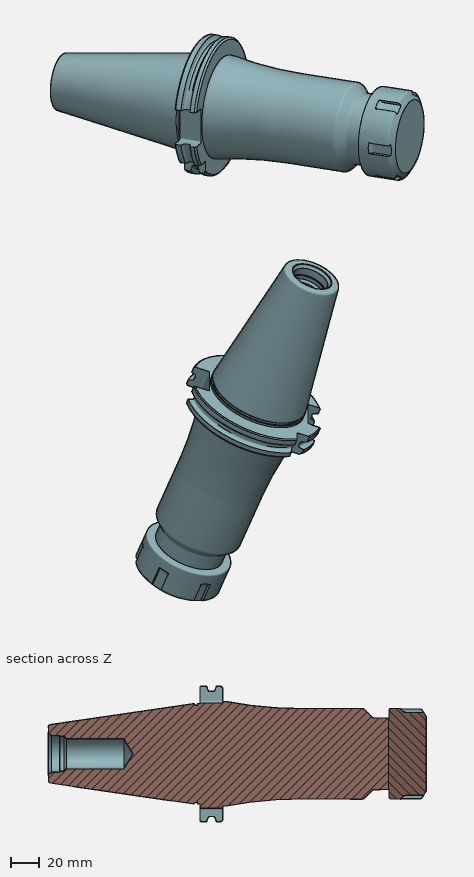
import cadquery as cq
import math

TOTAL_LENGTH = 261.5

TAPER_RATE = 7 / 24
GAUGE_X = 101.5
GAUGE_RADIUS = 34.92
TAPER_END_X = 101.0
SMALL_END_FILLET = 1.8

RELIEF_DEPTH = 1.0
RELIEF_WALL_X = 103.3
RELIEF_FLANK = 0.8

FLANGE_START_X = 105.0
FLANGE_WIDTH = 16.0
FLANGE_RADIUS = 48.7
FLANGE_REAR_CHAMFER = 0.8
FLANGE_FRONT_CHAMFER = 1.3
V_GROOVE_X = 113.0
V_GROOVE_FLOOR_WIDTH = 4.2
V_GROOVE_DEPTH = 3.5
V_GROOVE_FLOOR_FILLET = 1.0
V_GROOVE_FLANK_ANGLE = 20.0

SLOT_WIDTH = 25.6
SLOT_FLOOR_PLUS_Y = 35.3
SLOT_FLOOR_MINUS_Y = 37.7
SLOT_CORNER_FILLET = 1.3
NOTCH_OFFSET = 29.5
NOTCH_FILLET = 1.0

HUB_RADIUS = 36.4
HUB_END_X = 122.7
BODY_RADIUS = 31.5
BODY_START_X = 175.0
NECK_RADIUS = 24.98
SHOULDER_X = 218.2
SHOULDER_TOP_FILLET = 2.4
SHOULDER_FOOT_FILLET = 1.0

MOUTH_RADIUS = 14.6
LIP_RADIUS = 14.0
LIP_DEPTH = 0.3
PILOT_RADIUS = 12.5
PILOT_START_X = 2.4
PILOT_END_X = 7.8
THREAD_RADIUS = 12.0
THREAD_START_X = 11.0
BORE_RADIUS = 10.33
BORE_DEPTH = 52.3
STEP_ANGLE = 45.0
DRILL_TIP_ANGLE = 59.0

NUT_START_X = 235.7
NUT_RADIUS = 31.5
NUT_REAR_FILLET = 1.3
NUT_NOSE_X = 258.2
NUT_FACE_RADIUS = 25.77
NUT_NOSE_FILLET = 1.8

WRENCH_SLOT_COUNT = 6
WRENCH_SLOT_WIDTH = 7.8
WRENCH_SLOT_START_X = 243.5
WRENCH_SLOT_FLOOR = 28.8
WRENCH_RUNOUT_RADIUS = 3.5

FLANGE_END_X = FLANGE_START_X + FLANGE_WIDTH


def taper_radius(x):
    """Radius of the steep taper at station x."""
    return GAUGE_RADIUS + (x - GAUGE_X) * TAPER_RATE / 2


def turned(profile):
    """Revolve a closed profile, drawn as (station, radius), about the X axis."""
    return profile.close().revolve(360, (0, 0, 0), (1, 0, 0))


def fillet_ring(body, x, radius):
    """Round the circular edge whose plane crosses the axis at station x."""
    tolerance = 0.03
    low_corner = (x - tolerance, -tolerance, -tolerance)
    high_corner = (x + tolerance, tolerance, tolerance)
    return body.edges(cq.selectors.BoxSelector(low_corner, high_corner)).fillet(radius)


def make_holder_blank():
    """Turned outer shape: taper, relief groove, flange disc, flared body and neck."""
    rim_radius = taper_radius(TAPER_END_X)
    relief_radius = rim_radius - RELIEF_DEPTH
    flare_run = BODY_START_X - HUB_END_X
    flare_drop = HUB_RADIUS - BODY_RADIUS
    flare_radius = (flare_run**2 + flare_drop**2) / (2 * flare_drop)
    flare_mid_x = BODY_START_X - flare_run / 2
    flare_mid_radius = BODY_RADIUS + flare_radius - math.sqrt(flare_radius**2 - (flare_run / 2) ** 2)
    shoulder_foot_x = SHOULDER_X + BODY_RADIUS - NECK_RADIUS

    profile = (
        cq.Workplane("XY")
        .lineTo(0, taper_radius(0))
        .lineTo(TAPER_END_X, rim_radius)
        .lineTo(TAPER_END_X + RELIEF_FLANK, relief_radius)
        .lineTo(RELIEF_WALL_X, relief_radius)
        .lineTo(RELIEF_WALL_X, rim_radius)
        .lineTo(FLANGE_START_X, rim_radius)
        .lineTo(FLANGE_START_X, FLANGE_RADIUS - FLANGE_REAR_CHAMFER)
        .lineTo(FLANGE_START_X + FLANGE_REAR_CHAMFER, FLANGE_RADIUS)
        .lineTo(FLANGE_END_X - FLANGE_FRONT_CHAMFER, FLANGE_RADIUS)
        .lineTo(FLANGE_END_X, FLANGE_RADIUS - FLANGE_FRONT_CHAMFER)
        .lineTo(FLANGE_END_X, HUB_RADIUS)
        .lineTo(HUB_END_X, HUB_RADIUS)
        .threePointArc((flare_mid_x, flare_mid_radius), (BODY_START_X, BODY_RADIUS))
        .lineTo(SHOULDER_X, BODY_RADIUS)
        .lineTo(shoulder_foot_x, NECK_RADIUS)
        .lineTo(NUT_START_X, NECK_RADIUS)
        .lineTo(NUT_START_X, 0)
    )
    blank = turned(profile)
    blank = fillet_ring(blank, 0, SMALL_END_FILLET)
    blank = fillet_ring(blank, SHOULDER_X, SHOULDER_TOP_FILLET)
    return fillet_ring(blank, shoulder_foot_x, SHOULDER_FOOT_FILLET)


def make_v_groove_cutter():
    """Ring that cuts the gripper groove into the flange rim."""
    floor_radius = FLANGE_RADIUS - V_GROOVE_DEPTH
    floor_half = V_GROOVE_FLOOR_WIDTH / 2
    rim_half = floor_half + V_GROOVE_DEPTH * math.tan(math.radians(V_GROOVE_FLANK_ANGLE))
    profile = (
        cq.Workplane("XY")
        .moveTo(V_GROOVE_X - floor_half, floor_radius)
        .lineTo(V_GROOVE_X + floor_half, floor_radius)
        .lineTo(V_GROOVE_X + rim_half, FLANGE_RADIUS)
        .lineTo(V_GROOVE_X - rim_half, FLANGE_RADIUS)
    )
    ring = turned(profile)
    ring = fillet_ring(ring, V_GROOVE_X - floor_half, V_GROOVE_FLOOR_FILLET)
    return fillet_ring(ring, V_GROOVE_X + floor_half, V_GROOVE_FLOOR_FILLET)


def make_flange_block(y_inner, side, z_low, z_high):
    """Block across the flange width, from y_inner outward past the rim on the given Y side."""
    depth = FLANGE_RADIUS - abs(y_inner)
    return cq.Workplane("XY").box(FLANGE_WIDTH, depth, z_high - z_low, centered=False).translate(
        (FLANGE_START_X, min(y_inner, side * FLANGE_RADIUS), z_low)
    )


def make_drive_slot_cutter(floor_distance, side):
    """Drive slot with rounded floor corners; side is +1 for +Y and -1 for -Y."""
    block = make_flange_block(side * floor_distance, side, -SLOT_WIDTH / 2, SLOT_WIDTH / 2)
    floor_face = "<Y" if side > 0 else ">Y"
    return block.faces(floor_face).edges("|X").fillet(SLOT_CORNER_FILLET)


def make_notch_cutter():
    """Orientation notch on the -Y, -Z side of the flange, with a rounded inner corner."""
    block = make_flange_block(-NOTCH_OFFSET, -1, -FLANGE_RADIUS, -NOTCH_OFFSET)
    return block.edges("|X and >Y and >Z").fillet(NOTCH_FILLET)


def make_drawbar_bore():
    """Bore with a countersunk mouth, two narrowing conical steps and a drilled bottom."""
    step_slope = math.tan(math.radians(STEP_ANGLE))
    clearance_start_x = PILOT_END_X + (PILOT_RADIUS - THREAD_RADIUS) / step_slope
    bore_start_x = THREAD_START_X + (THREAD_RADIUS - BORE_RADIUS) / step_slope
    tip_length = BORE_RADIUS / math.tan(math.radians(DRILL_TIP_ANGLE))
    profile = (
        cq.Workplane("XY")
        .lineTo(0, MOUTH_RADIUS)
        .lineTo(LIP_DEPTH, LIP_RADIUS)
        .lineTo(PILOT_START_X, PILOT_RADIUS)
        .lineTo(PILOT_END_X, PILOT_RADIUS)
        .lineTo(clearance_start_x, THREAD_RADIUS)
        .lineTo(THREAD_START_X, THREAD_RADIUS)
        .lineTo(bore_start_x, BORE_RADIUS)
        .lineTo(BORE_DEPTH, BORE_RADIUS)
        .lineTo(BORE_DEPTH + tip_length, 0)
    )
    return turned(profile)


def make_holder():
    return (
        make_holder_blank()
        .cut(make_v_groove_cutter())
        .cut(make_drive_slot_cutter(SLOT_FLOOR_PLUS_Y, 1))
        .cut(make_drive_slot_cutter(SLOT_FLOOR_MINUS_Y, -1))
        .cut(make_notch_cutter())
        .cut(make_drawbar_bore())
    )


def make_nut_blank():
    """Turned nut: rounded rear rim and a cone with a rounded edge at the front."""
    profile = (
        cq.Workplane("XY")
        .moveTo(NUT_START_X, 0)
        .lineTo(NUT_START_X, NUT_RADIUS)
        .lineTo(NUT_NOSE_X, NUT_RADIUS)
        .lineTo(TOTAL_LENGTH, NUT_FACE_RADIUS)
        .lineTo(TOTAL_LENGTH, 0)
    )
    nut_blank = fillet_ring(turned(profile), NUT_START_X, NUT_REAR_FILLET)
    return fillet_ring(nut_blank, NUT_NOSE_X, NUT_NOSE_FILLET)


def make_wrench_slot_cutter():
    """One slot on the +Y side: 45 degree end ramp blended into a flat floor open at the front."""
    ramp_foot_x = WRENCH_SLOT_START_X + NUT_RADIUS - WRENCH_SLOT_FLOOR
    cutter = (
        cq.Workplane("XY")
        .moveTo(WRENCH_SLOT_START_X, NUT_RADIUS)
        .lineTo(ramp_foot_x, WRENCH_SLOT_FLOOR)
        .lineTo(TOTAL_LENGTH, WRENCH_SLOT_FLOOR)
        .lineTo(TOTAL_LENGTH, NUT_RADIUS)
        .close()
        .extrude(WRENCH_SLOT_WIDTH / 2, both=True)
    )
    ramp_foot = cq.selectors.NearestToPointSelector((ramp_foot_x, WRENCH_SLOT_FLOOR, 0))
    return cutter.edges(ramp_foot).fillet(WRENCH_RUNOUT_RADIUS)


def make_nut():
    nut = make_nut_blank()
    slot = make_wrench_slot_cutter()
    for index in range(WRENCH_SLOT_COUNT):
        angle = index * 360 / WRENCH_SLOT_COUNT
        nut = nut.cut(slot.rotate((0, 0, 0), (1, 0, 0), angle))
    return nut


holder = make_holder()
nut = make_nut()

result = cq.Compound.makeCompound([holder.val(), nut.val()])